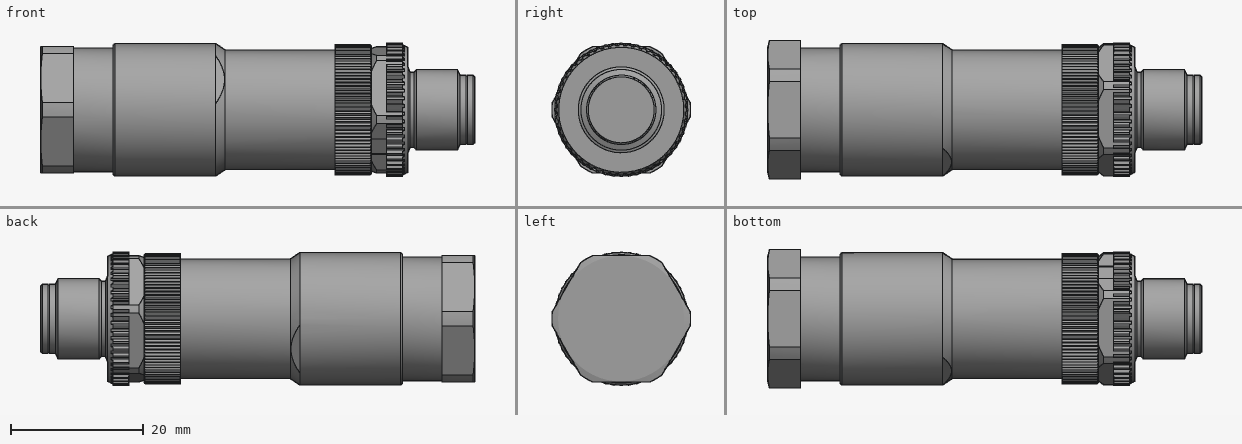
import cadquery as cq
import math

HEAD_END = 5.0
SLEEVE_START = 10.9
SLEEVE_END = 26.4
CONE_END = 27.85
KNURL_START = 44.4
KNURL_END = 49.9
RING_START = 52.2
RING_END = 54.6
RING_GAP_END = 54.9
FLANGE_END = 55.4
COLLAR_END = 55.75
THREAD_START = 56.3
THREAD_END = 63.3
TIP_BAND_START = 64.4
TOTAL_LENGTH = 65.5

NECK_RADIUS = 9.35
SLEEVE_RADIUS = 10.0
BODY_RADIUS = 9.05
FLANGE_RADIUS = 9.8
FLANGE_FACE_RADIUS = 9.4
COLLAR_RADIUS = 6.5
UNDERCUT_RADIUS = 5.7
THREAD_RADIUS = 6.1
TIP_RADIUS = 5.25
TIP_GROOVE_DEPTH = 0.1
TIP_GROOVE_WIDTH = 0.2

SLEEVE_CHAMFER = 0.3
THREAD_TAPER_LENGTH = 0.4
TIP_CHAMFER = 0.25

HEAD_APOTHEM = 9.55
HEAD_CORNER_RADIUS = 10.5
HEAD_FACE_RADIUS = 9.5
HEAD_CHAMFER_LENGTH = 0.25

CONE_FLAT_DISTANCE = 9.1
CONE_FLAT_ANGLE = 150.0

NUT_APOTHEM = 9.0
NUT_CORNER_RADIUS = 10.0
NUT_FACE_RADIUS = 9.35
NUT_CHAMFER_LENGTH = 0.8
NUT_CORNER_ANGLE = 8.5
MARK_FLAT_ANGLE = NUT_CORNER_ANGLE + 210
MARK_WIDTH = 2.95
MARK_DEPTH = 0.2

KNURL_TEETH = 104
KNURL_TIP_RADIUS = 9.8
KNURL_ROOT_RADIUS = 9.55
KNURL_CHAMFER = 0.2
RING_TEETH = 52
RING_TIP_RADIUS = 10.1
RING_ROOT_RADIUS = 9.6
RING_TIP_SHARE = 0.25
RING_ROOT_SHARE = 0.3


def section_at(x):
    """Workplane across the axis at x: local x is +Y, local y is +Z."""
    return cq.Workplane("YZ", origin=(x, 0, 0))


def turned(profile):
    """Revolve (x, radius) points, closed along the axis, about X."""
    axis_start = (profile[0][0], 0)
    axis_end = (profile[-1][0], 0)
    outline = cq.Workplane("XY").polyline([axis_start, *profile, axis_end]).close()
    return outline.revolve(360, (0, 0, 0), (1, 0, 0))


def polar(radius, angle):
    return (radius * math.cos(angle), radius * math.sin(angle))


def hexagon(start, end, apothem, corner_angle):
    """Hexagonal bar; corner_angle is measured from +Y towards +Z."""
    corner_distance = apothem / math.cos(math.pi / 6)
    corners = [polar(corner_distance, math.radians(corner_angle + 60 * i)) for i in range(6)]
    return section_at(start).polyline(corners).close().extrude(end - start)


def chamfered_hexagon(start, end, apothem, corner_angle, corner_radius, face_radius, chamfer_length):
    """Hexagonal bar with turned corners and a conical chamfer at its start."""
    envelope = turned([
        (start, face_radius),
        (start + chamfer_length, corner_radius),
        (end, corner_radius),
    ])
    return hexagon(start, end, apothem, corner_angle).intersect(envelope)


def toothed_ring(start, end, teeth, root_radius, tip_radius, root_share, tip_share):
    """Disc with straight teeth; the shares are the root and tip widths per pitch."""
    pitch = 2 * math.pi / teeth
    points = []
    for i in range(teeth):
        tip_angle = i * pitch
        root_angle = tip_angle + pitch / 2
        for radius, angle, share in (
            (tip_radius, tip_angle, tip_share),
            (root_radius, root_angle, root_share),
        ):
            half_width = share * pitch / 2
            points.append(polar(radius, angle - half_width))
            if half_width > 0:
                points.append(polar(radius, angle + half_width))
    return section_at(start).polyline(points).close().extrude(end - start)


def cone_flat_cutter(angle):
    """Block that trims the cone down to a flat facing the given angle."""
    block_depth = 2 * (SLEEVE_RADIUS - CONE_FLAT_DISTANCE)
    return (
        section_at(SLEEVE_END)
        .center(CONE_FLAT_DISTANCE + block_depth / 2, 0)
        .rect(block_depth, 2 * SLEEVE_RADIUS)
        .extrude(CONE_END - SLEEVE_END)
        .rotate((0, 0, 0), (1, 0, 0), angle)
    )


head = chamfered_hexagon(
    0, HEAD_END, HEAD_APOTHEM, 0, HEAD_CORNER_RADIUS, HEAD_FACE_RADIUS, HEAD_CHAMFER_LENGTH
)
housing = turned([
    (HEAD_END, NECK_RADIUS),
    (SLEEVE_START, NECK_RADIUS),
    (SLEEVE_START, SLEEVE_RADIUS - SLEEVE_CHAMFER),
    (SLEEVE_START + SLEEVE_CHAMFER, SLEEVE_RADIUS),
    (SLEEVE_END, SLEEVE_RADIUS),
    (CONE_END, BODY_RADIUS),
    (KNURL_START, BODY_RADIUS),
])
for flat_angle in (CONE_FLAT_ANGLE, CONE_FLAT_ANGLE + 180):
    housing = housing.cut(cone_flat_cutter(flat_angle))

knurl_envelope = turned([
    (KNURL_START, KNURL_TIP_RADIUS),
    (KNURL_END - KNURL_CHAMFER, KNURL_TIP_RADIUS),
    (KNURL_END, KNURL_TIP_RADIUS - KNURL_CHAMFER),
])
knurl = toothed_ring(
    KNURL_START, KNURL_END, KNURL_TEETH, KNURL_ROOT_RADIUS, KNURL_TIP_RADIUS, 0, 0
).intersect(knurl_envelope)

nut = chamfered_hexagon(
    KNURL_END, RING_END, NUT_APOTHEM, NUT_CORNER_ANGLE,
    NUT_CORNER_RADIUS, NUT_FACE_RADIUS, NUT_CHAMFER_LENGTH,
)
marking_groove = (
    section_at(KNURL_END)
    .center(NUT_APOTHEM, 0)
    .rect(2 * MARK_DEPTH, MARK_WIDTH)
    .extrude(RING_START - KNURL_END)
    .rotate((0, 0, 0), (1, 0, 0), MARK_FLAT_ANGLE)
)
nut = nut.cut(marking_groove)

teeth = toothed_ring(
    RING_START, RING_GAP_END, RING_TEETH, RING_ROOT_RADIUS, RING_TIP_RADIUS,
    RING_ROOT_SHARE, RING_TIP_SHARE,
)
flange_blank = section_at(RING_GAP_END).circle(RING_TIP_RADIUS).extrude(FLANGE_END - RING_GAP_END)
ring_envelope = turned([
    (RING_START, RING_TIP_RADIUS),
    (RING_END, RING_TIP_RADIUS),
    (RING_END, FLANGE_RADIUS),
    (FLANGE_END, FLANGE_FACE_RADIUS),
])
grip_ring = teeth.union(flange_blank).intersect(ring_envelope)

plug = turned([
    (FLANGE_END, COLLAR_RADIUS),
    (COLLAR_END, UNDERCUT_RADIUS),
    (THREAD_START, UNDERCUT_RADIUS),
    (THREAD_START + THREAD_TAPER_LENGTH, THREAD_RADIUS),
    (THREAD_END - THREAD_TAPER_LENGTH, THREAD_RADIUS),
    (THREAD_END, TIP_RADIUS),
    (TIP_BAND_START - TIP_GROOVE_WIDTH, TIP_RADIUS),
    (TIP_BAND_START - TIP_GROOVE_WIDTH, TIP_RADIUS - TIP_GROOVE_DEPTH),
    (TIP_BAND_START, TIP_RADIUS - TIP_GROOVE_DEPTH),
    (TIP_BAND_START, TIP_RADIUS),
    (TOTAL_LENGTH - TIP_CHAMFER, TIP_RADIUS),
    (TOTAL_LENGTH, TIP_RADIUS - TIP_CHAMFER),
])

result = head.union(housing).union(knurl).union(nut).union(grip_ring).union(plug)